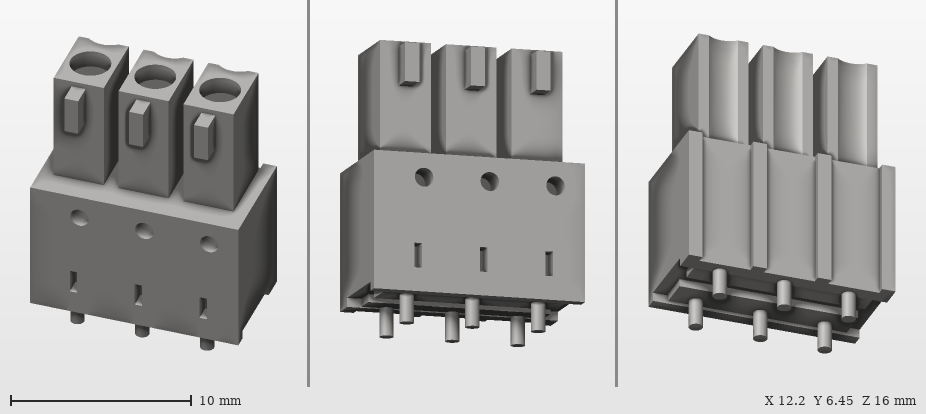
import cadquery as cq


POLE_COUNT = 3
PITCH = 3.8
pole_xs = [(i - (POLE_COUNT - 1) / 2) * PITCH for i in range(POLE_COUNT)]

WIDTH = 12.22
DEPTH = 6.45
BLOCK_BOTTOM = 1.54
BLOCK_TOP = 9.4
TOTAL_HEIGHT = 16.0

NOTCH_WIDTH = 3.0
NOTCH_DEPTH = 0.46

CHANNEL_FRONT = 0.74
CHANNEL_BACK = 5.07
CHANNEL_TOP = 2.05
RAIL_BOTTOM = 1.6
FRONT_RAIL_START = 0.93
FRONT_RAIL_END = 2.74
REAR_RAIL_START = 3.8

TOWER_WIDTH = 2.95
TOWER_FRONT = 1.57
TOWER_BACK = 5.76
SOCKET_DIAMETER = 2.32
SOCKET_DEPTH = 1.02
SOCKET_Y = 3.52
SCALLOP_CHORD = 1.73
SCALLOP_SAG = 0.3
KEY_WIDTH = 0.82
KEY_LENGTH = 1.25
KEY_BOTTOM = 13.47
KEY_TOP = 15.68

RAIL_LENGTH = (POLE_COUNT - 1) * PITCH + TOWER_WIDTH

TEST_HOLE_DIAMETER = 1.07
TEST_HOLE_OFFSET = 0.6
TEST_HOLE_Z = 8.02
TEST_HOLE_DEPTH = 1.6
SLOT_WIDTH = 0.43
SLOT_OFFSET = 0.24
SLOT_BOTTOM = 2.88
SLOT_TOP = 4.27
SLOT_DEPTH = 0.96

PIN_DIAMETER = 0.8
PIN_LENGTH = 2.56
FRONT_PIN_Y = 1.36
pin_ys = [FRONT_PIN_Y, FRONT_PIN_Y + PITCH]


def box(x_range, y_range, z_range):
    """Box spanning the given (low, high) limits on each axis."""
    limits = (x_range, y_range, z_range)
    sizes = [high - low for low, high in limits]
    corner = tuple(low for low, high in limits)
    return cq.Workplane("XY").box(*sizes, centered=False).translate(corner)


def centred(middle, width):
    """(low, high) limits of a width centred on a position."""
    return (middle - width / 2, middle + width / 2)


def make_block():
    """Main block with the underside channel and its standoff rails."""
    block = box(centred(0, WIDTH), (0, DEPTH), (BLOCK_BOTTOM, BLOCK_TOP))
    channel = box(centred(0, WIDTH), (CHANNEL_FRONT, CHANNEL_BACK), (BLOCK_BOTTOM, CHANNEL_TOP))
    block = block.cut(channel)
    rail_xs = centred(0, RAIL_LENGTH)
    for rail_ys in [(FRONT_RAIL_START, FRONT_RAIL_END), (REAR_RAIL_START, CHANNEL_BACK)]:
        block = block.union(box(rail_xs, rail_ys, (RAIL_BOTTOM, CHANNEL_TOP)))
    return block


def make_rear_notch(x):
    return box(centred(x, NOTCH_WIDTH), (DEPTH - NOTCH_DEPTH, DEPTH), (BLOCK_BOTTOM, BLOCK_TOP))


def make_tower(x):
    """Tower with a scalloped back, a blind round socket in its top and a key on its front."""
    left, right = centred(x, TOWER_WIDTH)
    scallop_left, scallop_right = centred(x, SCALLOP_CHORD)
    tower = (
        cq.Workplane("XY", origin=(0, 0, BLOCK_TOP))
        .moveTo(left, TOWER_FRONT)
        .lineTo(right, TOWER_FRONT)
        .lineTo(right, TOWER_BACK)
        .lineTo(scallop_right, TOWER_BACK)
        .threePointArc((x, TOWER_BACK - SCALLOP_SAG), (scallop_left, TOWER_BACK))
        .lineTo(left, TOWER_BACK)
        .close()
        .extrude(TOTAL_HEIGHT - BLOCK_TOP)
    )
    socket = (
        cq.Workplane("XY", origin=(x, SOCKET_Y, TOTAL_HEIGHT))
        .circle(SOCKET_DIAMETER / 2)
        .extrude(-SOCKET_DEPTH)
    )
    key = box(centred(x, KEY_WIDTH), (TOWER_FRONT - KEY_LENGTH, TOWER_FRONT), (KEY_BOTTOM, KEY_TOP))
    return tower.cut(socket).union(key)


def make_test_hole(x):
    return (
        cq.Workplane("XZ", origin=(x + TEST_HOLE_OFFSET, 0, TEST_HOLE_Z))
        .circle(TEST_HOLE_DIAMETER / 2)
        .extrude(-TEST_HOLE_DEPTH)
    )


def make_front_slot(x):
    return box(centred(x + SLOT_OFFSET, SLOT_WIDTH), (0, SLOT_DEPTH), (SLOT_BOTTOM, SLOT_TOP))


def make_pin(x, y):
    """Round solder pin; its upper end is seated in the housing."""
    return cq.Workplane("XY", origin=(x, y, 0)).circle(PIN_DIAMETER / 2).extrude(PIN_LENGTH)


def make_housing(pins):
    """Block and towers as one moulding, with a matching seat for every pin."""
    housing = make_block()
    for x in pole_xs:
        housing = housing.union(make_tower(x))
        for opening in [make_rear_notch(x), make_test_hole(x), make_front_slot(x)]:
            housing = housing.cut(opening)
    for pin in pins:
        housing = housing.cut(pin)
    return housing


solder_pins = [make_pin(x, y) for x in pole_xs for y in pin_ys]
housing = make_housing(solder_pins)

result = cq.Compound.makeCompound([housing.val(), *[pin.val() for pin in solder_pins]])